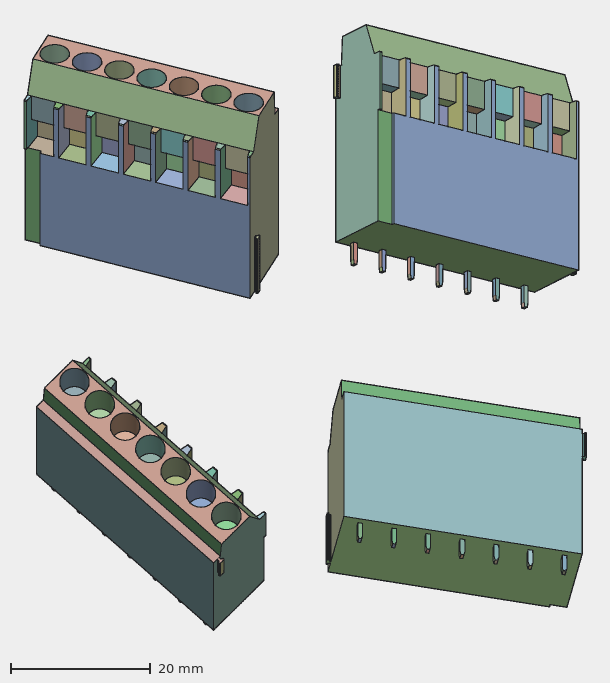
import cadquery as cq
import math


pole_count = 7
width = 34.9
depth = 10.95
height = 31.0
pitch = width / pole_count

ledge_height = 26.7
ledge_depth = 1.4
top_back = 1.67
top_front = 7.55
slope_foot = 9.6
shoulder_height = 25.9
shoulder_chamfer = 0.15

hole_diameter = 4.2
hole_center_depth = 5.3
hole_length = 7.25

funnel_width = 4.2
funnel_bottom = 16.95
upper_funnel_depth = depth - slope_foot
lower_funnel_depth = 2.85
wall_inset = 0.25
draft = math.degrees(math.atan(wall_inset / upper_funnel_depth))
upper_back_bottom = 21.6
funnel_top = upper_back_bottom + wall_inset

relief_width = 2.45
relief_height = 17.05
relief_depth = 0.45

rail_head_thickness = 0.3
rail_stem_width = 0.4
rail_tip_chamfer = 0.1
rail_flare_length = 0.2
rail_flare_rise = 0.1
left_rail_reach = 0.75
left_rail_center = 0.98
left_rail_head = 0.95
left_rail_length = 4.97
right_rail_reach = 0.6
right_rail_center = 9.07
right_rail_head = 1.0
right_rail_length = 9.98

pin_width = 0.7
pin_depth = 0.75
pin_length = 3.3
pin_tip_length = 0.65
pin_tip_width = 0.45
pin_center_depth = 1.15
pin_offset = -0.07


def pole_center(index):
    return (index + 0.5) * pitch


def make_housing_block():
    outline = [
        (0, 0),
        (0, ledge_height),
        (-ledge_depth, ledge_height),
        (-top_back, height),
        (-top_front, height),
        (-slope_foot, shoulder_height),
        (-depth + shoulder_chamfer, shoulder_height),
        (-depth, shoulder_height - shoulder_chamfer),
        (-depth, 0),
    ]
    return cq.Workplane("YZ").polyline(outline).close().extrude(width)


def make_rail(end_x, direction, reach, center_depth, head_width, z_min, length):
    """Beveled T rail on the end face at end_x, pointing along X in the given direction."""
    tip_x = end_x + direction * reach
    chamfer_x = tip_x - direction * rail_tip_chamfer
    neck_x = tip_x - direction * rail_head_thickness
    flare_x = neck_x - direction * rail_flare_length
    half_stem = rail_stem_width / 2
    half_head = head_width / 2
    half_outline = [
        (end_x, half_stem),
        (flare_x, half_stem),
        (neck_x, half_stem + rail_flare_rise),
        (neck_x, half_head),
        (chamfer_x, half_head),
        (tip_x, half_head - rail_tip_chamfer),
    ]
    mirrored_half = [(x, -y) for x, y in reversed(half_outline)]
    outline = half_outline + mirrored_half
    rail = cq.Workplane("XY").polyline(outline).close().extrude(length)
    return rail.translate((0, -center_depth, z_min))


def make_funnel(center_x):
    """Tapered wire entry, with its shallow upper part running out through the shoulder."""
    lower = (
        cq.Workplane("XZ", origin=(center_x, -depth, (funnel_bottom + funnel_top) / 2))
        .rect(funnel_width, funnel_top - funnel_bottom)
        .extrude(-lower_funnel_depth, taper=draft)
    )
    half_front = funnel_width / 2
    half_back = half_front - wall_inset
    upper_outline = [
        (center_x - half_front, -depth),
        (center_x + half_front, -depth),
        (center_x + half_back, -slope_foot),
        (center_x - half_back, -slope_foot),
    ]
    upper = (
        cq.Workplane("XY", origin=(0, 0, upper_back_bottom))
        .polyline(upper_outline)
        .close()
        .extrude(shoulder_height - upper_back_bottom)
    )
    return lower.union(upper)


def make_screw_hole(center_x):
    return (
        cq.Workplane("XY", origin=(center_x, -hole_center_depth, height - hole_length))
        .circle(hole_diameter / 2)
        .extrude(hole_length)
    )


def make_corner_relief():
    relief = cq.Workplane("XY").box(relief_width, relief_depth, relief_height, centered=False)
    return relief.translate((0, -depth, 0))


def make_housing():
    body = make_housing_block()
    left_rail = make_rail(
        0, -1, left_rail_reach, left_rail_center, left_rail_head,
        ledge_height - left_rail_length, left_rail_length,
    )
    right_rail = make_rail(
        width, 1, right_rail_reach, right_rail_center, right_rail_head, 0, right_rail_length
    )
    body = body.union(left_rail).union(right_rail)
    for index in range(pole_count):
        center_x = pole_center(index)
        body = body.cut(make_funnel(center_x))
        body = body.cut(make_screw_hole(center_x))
    return body.cut(make_corner_relief())


def make_pin(center_x):
    """Flat solder pin hanging from the housing floor, narrowed at the tip."""
    half_width = pin_width / 2
    half_tip = pin_tip_width / 2
    tip_start = -pin_length + pin_tip_length
    outline = [
        (-half_width, 0),
        (-half_width, tip_start),
        (-half_tip, -pin_length),
        (half_tip, -pin_length),
        (half_width, tip_start),
        (half_width, 0),
    ]
    pin = cq.Workplane("XZ").polyline(outline).close().extrude(pin_depth / 2, both=True)
    return pin.translate((center_x, -pin_center_depth, 0))


housing = make_housing()
pins = [make_pin(pole_center(index) + pin_offset) for index in range(pole_count)]

result = cq.Compound.makeCompound([housing.val(), *[pin.val() for pin in pins]])